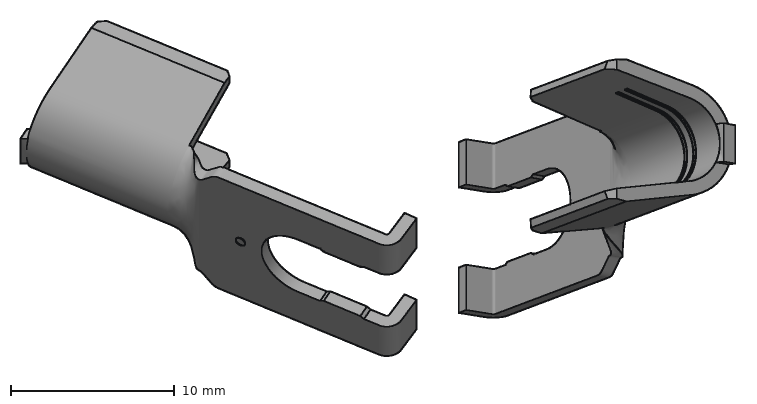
import cadquery as cq
import math


sheet = 0.86
total_length = 25.88
plate_width = 10.79
barrel_height = 8.51

barrel_end = 10.2
barrel_radius = 3.55
flare = math.radians(12.5)
bore_radius = barrel_radius - sheet
rim_angle = math.pi / 2 - flare
coin_start = 7.38
tip_thickness = 0.52
mouth_start = 0.37
mouth_tilt = math.radians(4.8)
front_chamfer_length = 0.64
rear_chamfer_length = 0.45
chamfer_height = 0.47

groove_centers = (3.2, 4.16)
groove_width = 0.28
groove_depth = 0.05
groove_top = 5.9

tab_width = 2.43
tab_blend = 0.42

neck_end = 12.34
neck_width = 8.85
neck_sections = 9

shoulder_inner_radius = 0.3
shoulder_outer_radius = 0.7
shoulder_angle = math.radians(45)
slot_width = 5.06
slot_bottom = 16.67
catch_width = 4.76
catch_start = 20.72
catch_end = 23.75
catch_ramp = 0.25
dimple_x = 15.2
dimple_diameter = 0.66
dimple_depth = 0.05

lip_height = 2.88
lip_tilt = math.radians(2.2)
bend_inner_radius = 0.18


def radial(radius, angle):
    """(Z, Y) point on a circle about the barrel axis; angle is measured from the bottom."""
    return radius * math.sin(angle), barrel_radius - radius * math.cos(angle)


def arm_point(radius, height):
    """(Z, Y) point at the given height on the straight arm tangent to a barrel circle."""
    start_z, start_y = radial(radius, rim_angle)
    return start_z + (height - start_y) * math.tan(flare), height


def mirror_z(point):
    return -point[0], point[1]


def section_plane(x):
    """Plane across the terminal at x: local x is Z, local y is Y, normal is -X."""
    return cq.Workplane(cq.Plane(origin=(x, 0, 0), xDir=(0, 0, 1), normal=(-1, 0, 0)))


def u_section(x, outer_radius, inner_radius, upper_end):
    """Closed U outline; upper_end lists the +Z arm end points from outside to inside."""
    lower_end = [mirror_z(point) for point in reversed(upper_end)]
    outer_start = radial(outer_radius, rim_angle)
    inner_start = radial(inner_radius, rim_angle)
    outline = section_plane(x).moveTo(*mirror_z(outer_start))
    outline = outline.threePointArc(radial(outer_radius, 0), outer_start)
    for point in upper_end + [inner_start]:
        outline = outline.lineTo(*point)
    outline = outline.threePointArc(radial(inner_radius, 0), mirror_z(inner_start))
    for point in lower_end:
        outline = outline.lineTo(*point)
    return outline.close()


def mouth_x(height):
    return mouth_start + height * math.tan(mouth_tilt)


def make_barrel():
    inner_tip = arm_point(bore_radius, barrel_height)
    outer_tip = (
        inner_tip[0] + tip_thickness * math.cos(flare),
        inner_tip[1] - tip_thickness * math.sin(flare),
    )
    arm_end = [arm_point(barrel_radius, coin_start), outer_tip, inner_tip]
    barrel = u_section(barrel_end, barrel_radius, bore_radius, arm_end).extrude(barrel_end)

    chamfer_y = barrel_height - chamfer_height
    side = (
        cq.Workplane("XY")
        .moveTo(mouth_x(0), 0)
        .lineTo(barrel_end, 0)
        .lineTo(barrel_end, chamfer_y)
        .lineTo(barrel_end - rear_chamfer_length, barrel_height)
        .lineTo(mouth_x(chamfer_y) + front_chamfer_length, barrel_height)
        .lineTo(mouth_x(chamfer_y), chamfer_y)
        .close()
        .extrude(plate_width / 2, both=True)
    )
    barrel = barrel.intersect(side)
    for center in groove_centers:
        barrel = barrel.cut(make_groove(center))
    return barrel


def make_groove(center):
    floor_radius = bore_radius + groove_depth
    arm_end = [arm_point(floor_radius, groove_top), arm_point(bore_radius, groove_top)]
    start = center + groove_width / 2
    return u_section(start, floor_radius, bore_radius, arm_end).extrude(groove_width)


def make_tab():
    """Short tab, flat at its free end and curved like the barrel where it joins."""
    half = tab_width / 2
    outer_corner = radial(barrel_radius, math.asin(half / barrel_radius))
    inner_corner = radial(bore_radius, math.asin(half / bore_radius))
    joint = (
        section_plane(tab_blend)
        .moveTo(*mirror_z(outer_corner))
        .threePointArc((0, 0), outer_corner)
        .lineTo(*inner_corner)
        .threePointArc((0, sheet), mirror_z(inner_corner))
        .close()
    )
    free_end = section_plane(0).rect(tab_width, sheet).translate((0, sheet / 2, 0))
    wires = [free_end.val(), joint.val()]
    return cq.Workplane(cq.Solid.makeLoft(wires, True))


def make_neck():
    """Blend from the round of the U section to the flat sheet along a smooth S curve."""
    start_z, start_y = radial(barrel_radius, rim_angle)
    wires = []
    for index in range(neck_sections):
        fraction = index / (neck_sections - 1)
        blend = fraction**2 * (3 - 2 * fraction)
        x = barrel_end + fraction * (neck_end - barrel_end)
        half = start_z + blend * (neck_width / 2 - start_z)
        rise = start_y * (1 - blend)
        angle = 2 * math.atan(rise / half)
        inner_half = half - sheet * math.sin(angle)
        inner_rise = rise + sheet * math.cos(angle)
        outline = section_plane(x).moveTo(-half, rise)
        if index < neck_sections - 1:
            outline = outline.threePointArc((0, 0), (half, rise))
            outline = outline.lineTo(inner_half, inner_rise)
            outline = outline.threePointArc((0, sheet), (-inner_half, inner_rise))
        else:
            outline = outline.lineTo(half, rise)
            outline = outline.lineTo(inner_half, inner_rise)
            outline = outline.lineTo(-inner_half, inner_rise)
        wires.append(outline.close().val())
    return cq.Workplane(cq.Solid.makeLoft(wires, False))


def make_strip():
    """Plate and upturned lip as one bent strip of full width."""
    bend_outer_radius = bend_inner_radius + sheet
    along = (math.sin(lip_tilt), math.cos(lip_tilt))
    across = (math.cos(lip_tilt), -math.sin(lip_tilt))
    lip_length = (lip_height - bend_outer_radius - bend_inner_radius * across[1]) / along[1]
    center_x = total_length - bend_outer_radius * across[0] - lip_length * along[0]
    half_turn = (math.pi / 2 - lip_tilt) / 2

    def on_bend(radius, turn):
        return center_x + radius * math.sin(turn), bend_outer_radius - radius * math.cos(turn)

    def lip_top(radius):
        base = on_bend(radius, 2 * half_turn)
        return base[0] + lip_length * along[0], base[1] + lip_length * along[1]

    return (
        cq.Workplane("XY")
        .moveTo(neck_end, 0)
        .lineTo(*on_bend(bend_outer_radius, 0))
        .threePointArc(on_bend(bend_outer_radius, half_turn), on_bend(bend_outer_radius, 2 * half_turn))
        .lineTo(*lip_top(bend_outer_radius))
        .lineTo(*lip_top(bend_inner_radius))
        .lineTo(*on_bend(bend_inner_radius, 2 * half_turn))
        .threePointArc(on_bend(bend_inner_radius, half_turn), on_bend(bend_inner_radius, 0))
        .lineTo(neck_end, sheet)
        .close()
        .extrude(plate_width / 2, both=True)
    )


def make_shoulder_waste(side):
    """Material removed beside the neck to leave the rounded 45 degree shoulder."""
    neck_half = neck_width / 2
    plate_half = plate_width / 2

    def arc_step(radius, angle):
        return radius * math.sin(angle), radius * (1 - math.cos(angle))

    inner_mid = arc_step(shoulder_inner_radius, shoulder_angle / 2)
    inner_end = arc_step(shoulder_inner_radius, shoulder_angle)
    outer_mid = arc_step(shoulder_outer_radius, shoulder_angle / 2)
    outer_end = arc_step(shoulder_outer_radius, shoulder_angle)
    slope_rise = plate_half - neck_half - inner_end[1] - outer_end[1]
    slope_end_x = neck_end + inner_end[0] + slope_rise / math.tan(shoulder_angle)
    plate_x = slope_end_x + outer_end[0]

    return (
        cq.Workplane("XZ")
        .moveTo(neck_end, side * neck_half)
        .threePointArc(
            (neck_end + inner_mid[0], side * (neck_half + inner_mid[1])),
            (neck_end + inner_end[0], side * (neck_half + inner_end[1])),
        )
        .lineTo(slope_end_x, side * (plate_half - outer_end[1]))
        .threePointArc(
            (plate_x - outer_mid[0], side * (plate_half - outer_mid[1])),
            (plate_x, side * plate_half),
        )
        .lineTo(neck_end, side * plate_half)
        .close()
        .extrude(-sheet)
    )


def make_slot():
    """Round-bottomed fork slot, slightly narrowed between the two catches."""
    half = slot_width / 2
    catch_half = catch_width / 2
    round_x = slot_bottom + half
    return (
        cq.Workplane("XZ")
        .moveTo(round_x, -half)
        .threePointArc((slot_bottom, 0), (round_x, half))
        .lineTo(catch_start, half)
        .lineTo(catch_start + catch_ramp, catch_half)
        .lineTo(catch_end - catch_ramp, catch_half)
        .lineTo(catch_end, half)
        .lineTo(total_length, half)
        .lineTo(total_length, -half)
        .lineTo(catch_end, -half)
        .lineTo(catch_end - catch_ramp, -catch_half)
        .lineTo(catch_start + catch_ramp, -catch_half)
        .lineTo(catch_start, -half)
        .close()
        .extrude(-lip_height)
    )


def make_plate():
    plate = make_strip().cut(make_slot())
    for side in (1, -1):
        plate = plate.cut(make_shoulder_waste(side))
    dimple = (
        cq.Workplane("XZ")
        .center(dimple_x, 0)
        .circle(dimple_diameter / 2)
        .extrude(-dimple_depth)
    )
    return plate.cut(dimple)


result = make_barrel().union(make_tab()).union(make_neck()).union(make_plate())